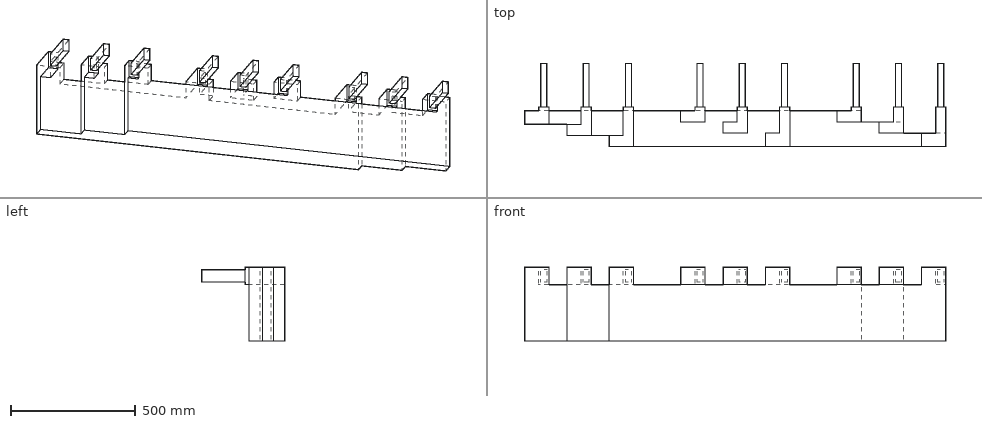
import cadquery as cq


BAR_COUNT = 3
BAR_LENGTH = 1355.0
BAR_SHIFT = 170.0
PLATE_HEIGHT = 227.5
STACK_DEPTH = 145.0
THIN_DEPTH = 45.0
THICK_DEPTH = 55.0

LUG_COUNT = 3
LUG_LENGTH = 98.5
LUG_HEIGHT = 70.0
LUG_PITCH = (BAR_LENGTH - LUG_LENGTH) / (LUG_COUNT - 1)

ARM_WIDTH = 41.5
ARM_OVERHANG = 15.0
ROD_WIDTH = 25.0
ROD_HEIGHT = 50.0
ROD_LENGTH = 175.0

LEFT_JOINTS = [0.0, THICK_DEPTH, STACK_DEPTH - THIN_DEPTH, STACK_DEPTH]
INNER_JOINTS = [0.0, THIN_DEPTH, STACK_DEPTH - THICK_DEPTH, STACK_DEPTH]


def block(x_min, x_max, y_min, y_max, z_min, z_max):
    """Box spanning the given limits."""
    size = (x_max - x_min, y_max - y_min, z_max - z_min)
    return cq.Workplane("XY").box(*size, centered=False).translate((x_min, y_min, z_min))


def plate(bar):
    """Plain bar below the lugs, spanning the full range of its joint depths."""
    x_min = bar * BAR_SHIFT
    back = -INNER_JOINTS[bar]
    front = -LEFT_JOINTS[bar + 1]
    return block(x_min, x_min + BAR_LENGTH, front, back, 0, PLATE_HEIGHT)


def lug(bar, index):
    """Lug foot with an arm and a rod at its right end."""
    joints = LEFT_JOINTS if index == 0 else INNER_JOINTS
    back = -joints[bar]
    front = -joints[bar + 1]
    x_min = bar * BAR_SHIFT + index * LUG_PITCH
    x_max = x_min + LUG_LENGTH
    z_max = PLATE_HEIGHT + LUG_HEIGHT
    foot = block(x_min, x_max, front, back, PLATE_HEIGHT, z_max)
    arm = block(x_max - ARM_WIDTH, x_max, front, ARM_OVERHANG, PLATE_HEIGHT, z_max)

    rod_x = x_max - (ARM_WIDTH + ROD_WIDTH) / 2
    rod_z = PLATE_HEIGHT + (LUG_HEIGHT - ROD_HEIGHT) / 2
    rod = block(
        rod_x,
        rod_x + ROD_WIDTH,
        ARM_OVERHANG,
        ARM_OVERHANG + ROD_LENGTH,
        rod_z,
        rod_z + ROD_HEIGHT,
    )
    return foot.union(arm).union(rod)


body = plate(0)
for bar in range(1, BAR_COUNT):
    body = body.union(plate(bar))
for bar in range(BAR_COUNT):
    for index in range(LUG_COUNT):
        body = body.union(lug(bar, index))

result = body.clean()